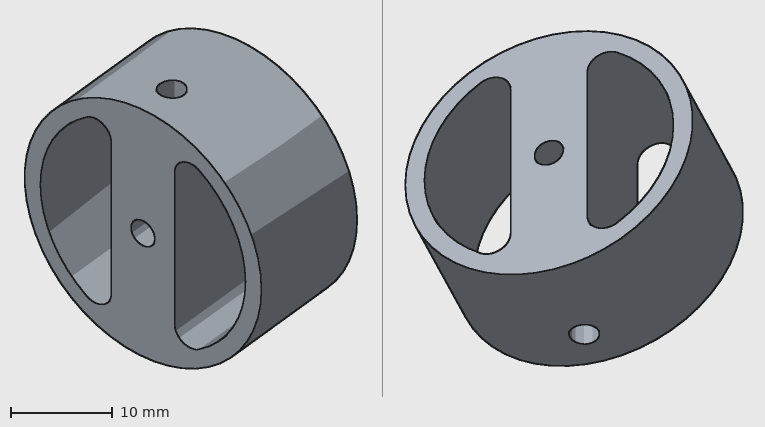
import cadquery as cq

outer_diameter = 30
width = 15
rim_thickness = 2.0
web_thickness = 8.0
window_corner_radius = 2.0
axle_hole_diameter = 3
cross_hole_diameter = 3
cross_hole_from_front = 4.5

inner_diameter = outer_diameter - 2 * rim_thickness
front_y = -width / 2
back_y = width / 2


def disc(diameter):
    """Full-width cylinder along Y, centred on the origin."""
    return cq.Workplane("XZ", origin=(0, back_y, 0)).circle(diameter / 2).extrude(width)


def windows():
    """The two D-shaped openings on either side of the central web."""
    web = cq.Workplane("XY").box(web_thickness, width, outer_diameter)
    return disc(inner_diameter).cut(web).edges("|Y").fillet(window_corner_radius)


def cross_hole():
    """Hole along Z through the rim and the whole height of the web."""
    return (
        cq.Workplane("XY")
        .center(0, front_y + cross_hole_from_front)
        .circle(cross_hole_diameter / 2)
        .extrude(outer_diameter, both=True)
    )


result = (
    disc(outer_diameter)
    .cut(windows())
    .cut(disc(axle_hole_diameter))
    .cut(cross_hole())
)